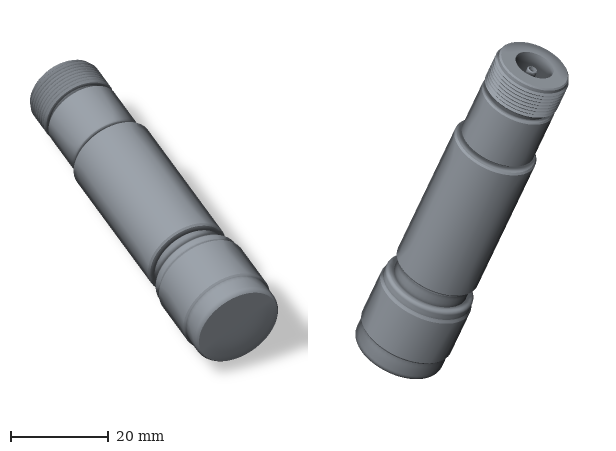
import cadquery as cq

TOTAL_LENGTH = 77.0

JACK_BORE_RADIUS = 4.15
JACK_BORE_DEPTH = 8.85
THREAD_ROOT_RADIUS = 7.6
THREAD_CREST_RADIUS = 8.1
THREAD_START = 1.1
THREAD_PITCH = 0.82
THREAD_RIDGES = 8
THREAD_END = THREAD_START + THREAD_RIDGES * THREAD_PITCH
MOUTH_CHAMFER = 0.3
RELIEF_RADIUS = 6.85
SHOULDER_RADIUS = 8.0
SHOULDER_START = 8.85
SHOULDER_END = 20.8
SHOULDER_CHAMFER = 0.3
JACK_NECK_RADIUS = 6.2

PIN_RADIUS = 1.1
PIN_HOLE_RADIUS = 0.8
PIN_TIP = 1.1
PIN_TIP_CHAMFER = 0.15
PIN_HOLE_DEPTH = 3.1

SLEEVE_RADIUS = 9.0
SLEEVE_START = 21.6
SLEEVE_END = 54.9
SLEEVE_CHAMFER = 0.4

PLUG_NECK_RADIUS = 5.85
COLLAR_RADIUS = SHOULDER_RADIUS
COLLAR_START = 55.3
COLLAR_CHAMFER = SHOULDER_CHAMFER

NUT_START = 58.5
NUT_END_RADIUS = 9.6
NUT_GRIP_RADIUS = 10.0
NUT_BACK_FILLET = 0.7
GRIP_BACK_FOOT = 60.5
GRIP_BACK_TOP = 61.2
GRIP_FRONT_TOP = 71.9
GRIP_FRONT_FOOT = 72.4
NUT_NOSE_START = 75.85
NUT_NOSE_END_RADIUS = 9.1


def cylinder(start, end, radius):
    """Solid cylinder along X from one station to another."""
    return cq.Workplane("YZ", origin=(start, 0, 0)).circle(radius).extrude(end - start)


def revolve_about_x(profile):
    """Full turn of a closed (station, radius) profile about the X axis."""
    return profile.close().revolve(360, (0, 0, 0), (1, 0, 0))


def make_threaded_end():
    """Threaded end as ring-shaped V ridges, with a plain lead-in."""
    profile = (
        cq.Workplane("XY")
        .moveTo(0, 0)
        .lineTo(0, THREAD_ROOT_RADIUS - MOUTH_CHAMFER)
        .lineTo(MOUTH_CHAMFER, THREAD_ROOT_RADIUS)
        .lineTo(THREAD_START, THREAD_ROOT_RADIUS)
    )
    for ridge in range(THREAD_RIDGES):
        foot = THREAD_START + ridge * THREAD_PITCH
        profile = profile.lineTo(foot + THREAD_PITCH / 2, THREAD_CREST_RADIUS)
        profile = profile.lineTo(foot + THREAD_PITCH, THREAD_ROOT_RADIUS)
    return revolve_about_x(profile.lineTo(THREAD_END, 0))


def make_socket_pin():
    """Contact pin with a chamfered tip and a blind hole."""
    pin = cylinder(PIN_TIP, JACK_BORE_DEPTH, PIN_RADIUS).faces("<X").edges().chamfer(PIN_TIP_CHAMFER)
    return pin.cut(cylinder(PIN_TIP, PIN_TIP + PIN_HOLE_DEPTH, PIN_HOLE_RADIUS))


def make_jack():
    """Threaded end, relief groove, shoulder and neck, bored for the socket pin."""
    relief = cylinder(THREAD_END, SHOULDER_START, RELIEF_RADIUS)
    shoulder = cylinder(SHOULDER_START, SHOULDER_END, SHOULDER_RADIUS).edges().chamfer(SHOULDER_CHAMFER)
    neck = cylinder(SHOULDER_END, SLEEVE_START, JACK_NECK_RADIUS)
    jack = make_threaded_end().union(relief).union(shoulder).union(neck)
    jack = jack.cut(cylinder(0, JACK_BORE_DEPTH, JACK_BORE_RADIUS))
    return jack.union(make_socket_pin())


def make_sleeve():
    """Plain round sleeve with chamfered ends."""
    return cylinder(SLEEVE_START, SLEEVE_END, SLEEVE_RADIUS).edges().chamfer(SLEEVE_CHAMFER)


def make_coupling_nut():
    """Coupling nut with a raised grip band, a rounded back edge and a curved nose."""
    nut = revolve_about_x(
        cq.Workplane("XY")
        .moveTo(NUT_START, 0)
        .lineTo(NUT_START, NUT_END_RADIUS)
        .lineTo(GRIP_BACK_FOOT, NUT_END_RADIUS)
        .lineTo(GRIP_BACK_TOP, NUT_GRIP_RADIUS)
        .lineTo(GRIP_FRONT_TOP, NUT_GRIP_RADIUS)
        .lineTo(GRIP_FRONT_FOOT, NUT_END_RADIUS)
        .lineTo(NUT_NOSE_START, NUT_END_RADIUS)
        .tangentArcPoint((TOTAL_LENGTH, NUT_NOSE_END_RADIUS), relative=False)
        .lineTo(TOTAL_LENGTH, 0)
    )
    return nut.faces("<X").edges().fillet(NUT_BACK_FILLET)


def make_plug():
    """Neck, collar and coupling nut in one piece."""
    neck = cylinder(SLEEVE_END, COLLAR_START, PLUG_NECK_RADIUS)
    collar = cylinder(COLLAR_START, NUT_START, COLLAR_RADIUS).faces("<X").edges().chamfer(COLLAR_CHAMFER)
    return neck.union(collar).union(make_coupling_nut())


jack = make_jack()
sleeve = make_sleeve()
plug = make_plug()

result = cq.Compound.makeCompound([jack.val(), sleeve.val(), plug.val()])